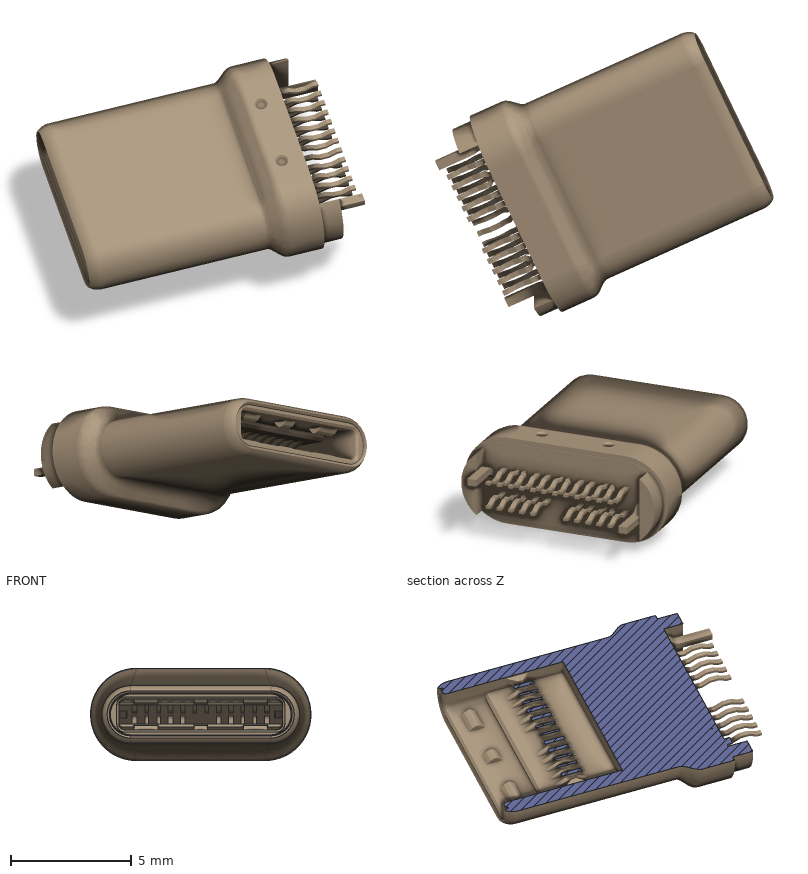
import cadquery as cq
import math

length = 12.04
embed = 0.06

shell_width = 8.22
shell_thickness = 2.4
shell_radius = shell_thickness / 2
shell_half_span = shell_width / 2 - shell_radius
shell_end_y = 7.7
mouth_round_length = 0.5
mouth_height = 1.96
mouth_radius = mouth_height / 2
mouth_chamfer = 0.09
bore_radius = mouth_radius - mouth_chamfer
liner_gap = 0.042
liner_gap_depth = 0.1

collar_width = 9.17
collar_thickness = 3.84
collar_radius = collar_thickness / 2
collar_half_span = collar_width / 2 - collar_radius
collar_front_y = 8.57
collar_rear_y = 10.0
shoulder_stations = 6
shoulder_bias = 1.15

block_radius = 1.71
block_rear_y = 10.04
ear_rear_y = 10.9
ear_inner_x = 3.68

dimple_x = 1.5
dimple_y = 9.05
dimple_mouth_diameter = 0.55
dimple_floor_diameter = 0.34
dimple_depth = 0.11

cavity_width = 6.8
cavity_half_width = cavity_width / 2
cavity_half_height = 0.64
cavity_corner = 0.24
cavity_chamfer = 0.1
chamfer_angle = 45
step_y = 1.93
funnel_half_height = 0.52
funnel_length = 0.12
slot_half_height = 0.4
slot_end_y = 5.42

spring_layout = [(-2.28, 1.0), (0, 0.55), (2.28, 1.0)]
spring_front_y = 0.6
spring_length = 0.71
spring_ridge = (0.17, 0.17)
spring_crest = (0.34, 0.23)

positions = 12
row_length = 5.5
pitch = row_length / (positions - 1)
wide_pin = 0.2
narrow_pin = 0.13
contact_front_y = 2.65
contact_ridge_z = 0.15
contact_tip_z = 0.06
contact_ramp_length = 0.48
contact_crest_length = 0.36
contact_back_length = 0.72
upper_row_only = (5, 6)
jogs = {1: 1, 2: -1, 5: 1, 6: -1, 9: 1, 10: -1}

pin_rear_y = 11.88
pin_thickness = 0.12
pin_tail_z = 0.47
pin_dip_z = 0.31
pin_root_y = block_rear_y - embed
pin_ramp = 0.35
pin_dip_front_y = 10.6
pin_dip_rear_y = 11.67
jog_front_y = 10.22
jog_rear_y = 10.37
jog_slant = 0.11
jog_shift = 0.102

latch_front_y = 2.89
latch_half_height = 0.15
latch_ridge_x = 3.12
latch_tip_x = 3.07
latch_ramp_length = 0.36
latch_crest_length = 0.24

leg_spacing = 6.83
leg_x = leg_spacing / 2
leg_width = 0.39
leg_thickness = 0.3
leg_inner_z = 0.39
leg_bend_y = 10.6
leg_bend_drop = 0.3


def slot_turned(outline, half_span):
    """Solid of slot-shaped sections along Y, from a half outline drawn as radius (X) against Y."""
    flat = outline.extrude(half_span, both=True).rotate((0, 0, 0), (0, 1, 0), 90)
    bar = flat.union(flat.mirror("XY"))
    end = outline.toPending().revolve(360, (0, 0, 0), (0, 1, 0))
    for side in (-1, 1):
        bar = bar.union(end.translate((side * half_span, 0, 0)))
    return bar


def straight_bar(radius, half_span, start, end):
    """Slot-shaped bar between two Y positions."""
    section = cq.Workplane("XZ", origin=(0, start, 0)).slot2D(2 * (half_span + radius), 2 * radius)
    return section.extrude(start - end)


def box(x0, x1, y0, y1, z0, z1):
    return cq.Workplane("XY").box(x1 - x0, y1 - y0, z1 - z0, centered=False).translate((x0, y0, z0))


def shoulder():
    """Smooth transition from the shell's slot section to the collar's."""
    loft = cq.Workplane("XZ")
    previous_y = 0
    for station in range(shoulder_stations + 1):
        t = station / shoulder_stations
        y = collar_front_y + (shell_end_y - collar_front_y) * t
        eased = t**shoulder_bias
        blend = eased * eased * (3 - 2 * eased)
        radius = collar_radius + (shell_radius - collar_radius) * blend
        half_span = collar_half_span + (shell_half_span - collar_half_span) * blend
        loft = loft.workplane(offset=previous_y - y).slot2D(2 * (half_span + radius), 2 * radius)
        previous_y = y
    return loft.loft()


def shell():
    """Shell whose mouth edge is rounded by an arc tangent to its sides."""
    inset = shell_radius - mouth_radius
    arc_radius = (mouth_round_length**2 + inset**2) / (2 * inset)
    half_angle = math.asin(mouth_round_length / arc_radius) / 2
    arc_middle = (
        shell_radius - arc_radius * (1 - math.cos(half_angle)),
        mouth_round_length - arc_radius * math.sin(half_angle),
    )
    outline = (
        cq.Workplane("XY")
        .lineTo(mouth_radius, 0)
        .threePointArc(arc_middle, (shell_radius, mouth_round_length))
        .lineTo(shell_radius, shell_end_y)
        .lineTo(0, shell_end_y)
        .close()
    )
    return slot_turned(outline, shell_half_span)


def mouth_chamfer_cut():
    """Chamfered rim running in to the front face of the liner."""
    outline = cq.Workplane("XY").polyline([
        (0, 0),
        (mouth_radius, 0),
        (bore_radius, mouth_chamfer),
        (0, mouth_chamfer),
    ]).close()
    return slot_turned(outline, shell_half_span)


def liner_groove():
    """Thin gap all round between the shell and the liner inside it."""
    groove_end_y = mouth_chamfer + liner_gap_depth
    bore = straight_bar(bore_radius, shell_half_span, mouth_chamfer, groove_end_y)
    liner = straight_bar(bore_radius - liner_gap, shell_half_span, mouth_chamfer, groove_end_y)
    return bore.cut(liner)


def backing_block():
    """Slot-shaped block, cut back between its two end ears."""
    core = straight_bar(block_radius, collar_half_span, collar_front_y, ear_rear_y)
    gap = box(-ear_inner_x, ear_inner_x, block_rear_y, ear_rear_y, -block_radius, block_radius)
    return core.cut(gap)


def dimple(x):
    """Flat-bottomed conical recess in the top of the collar."""
    cone = cq.Solid.makeCone(
        dimple_floor_diameter / 2,
        dimple_mouth_diameter / 2,
        dimple_depth,
        pnt=cq.Vector(x, dimple_y, collar_radius - dimple_depth),
    )
    return cq.Workplane(cone)


def rounded_opening(grow, y):
    """Section of the cavity at depth y, grown outwards on every side."""
    sketch = cq.Sketch().rect(2 * (cavity_half_width + grow), 2 * (cavity_half_height + grow))
    sketch = sketch.vertices().fillet(cavity_corner + grow)
    return cq.Workplane("XZ", origin=(0, y, 0)).placeSketch(sketch)


def cavity():
    """Chamfered front cavity, then a funnel into a thin slot."""
    chamfer_end_y = mouth_chamfer + cavity_chamfer
    lead_in = rounded_opening(cavity_chamfer, mouth_chamfer).extrude(-cavity_chamfer, taper=chamfer_angle)
    front = rounded_opening(0, chamfer_end_y).extrude(chamfer_end_y - step_y)
    funnel_end_y = step_y + funnel_length
    slot = cq.Workplane("YZ").polyline([
        (step_y, funnel_half_height),
        (funnel_end_y, slot_half_height),
        (slot_end_y, slot_half_height),
        (slot_end_y, -slot_half_height),
        (funnel_end_y, -slot_half_height),
        (step_y, -funnel_half_height),
    ]).close().extrude(cavity_half_width, both=True)
    return lead_in.union(front).union(slot)


def spring(x, width):
    """Bump on the cavity floor: a steep front ramp, a gentler one, and a curved back."""
    base_z = -cavity_half_height
    ridge = (spring_front_y + spring_ridge[0], base_z + spring_ridge[1])
    crest = (spring_front_y + spring_crest[0], base_z + spring_crest[1])
    crest_direction = (crest[0] - ridge[0], crest[1] - ridge[1])
    back_direction = (1, -1)
    back_y = spring_front_y + spring_length
    bump = (
        cq.Workplane("YZ", origin=(x - width / 2, 0, 0))
        .moveTo(spring_front_y, base_z - embed)
        .lineTo(spring_front_y, base_z)
        .lineTo(*ridge)
        .lineTo(*crest)
        .spline([(back_y, base_z)], tangents=[crest_direction, back_direction], includeCurrent=True)
        .lineTo(back_y, base_z - embed)
        .close()
    )
    return bump.extrude(width)


def contact(x, width):
    """Sprung contact standing on the slot floor."""
    floor_z = -slot_half_height
    ridge_y = contact_front_y + contact_ramp_length
    tip_y = ridge_y + contact_crest_length
    back_y = tip_y + contact_back_length
    return cq.Workplane("YZ", origin=(x, 0, 0)).polyline([
        (contact_front_y, floor_z - embed),
        (contact_front_y, floor_z),
        (ridge_y, -contact_ridge_z),
        (tip_y, -contact_tip_z),
        (back_y, floor_z),
        (back_y, floor_z - embed),
    ]).close().extrude(width / 2, both=True)


def latch():
    """Side latch of the slot at +X."""
    ridge_y = latch_front_y + latch_ramp_length
    tip_y = ridge_y + latch_crest_length
    back_y = tip_y + latch_ramp_length
    return cq.Workplane("XY").polyline([
        (cavity_half_width + embed, latch_front_y),
        (cavity_half_width, latch_front_y),
        (latch_ridge_x, ridge_y),
        (latch_tip_x, tip_y),
        (cavity_half_width, back_y),
        (cavity_half_width + embed, back_y),
    ]).close().extrude(latch_half_height, both=True)


def thickened(path, thickness):
    """Closed outline of a strip whose lower edge is the path."""
    upper = [(y, z + thickness) for y, z in reversed(path)]
    return cq.Workplane("YZ").polyline(path + upper).close()


def pin(x, jog):
    """Solder pin of the upper row: dipped side profile; jog (-1, 0, 1) sets its sideways step in plan."""
    side = thickened([
        (pin_root_y, pin_tail_z),
        (pin_dip_front_y, pin_tail_z),
        (pin_dip_front_y + pin_ramp, pin_dip_z),
        (pin_dip_rear_y - pin_ramp, pin_dip_z),
        (pin_dip_rear_y, pin_tail_z),
        (pin_rear_y, pin_tail_z),
    ], pin_thickness).extrude(length, both=True)
    half = wide_pin / 2
    if jog == 0:
        plan = [(-half, pin_root_y), (-half, pin_rear_y), (half, pin_rear_y), (half, pin_root_y)]
    else:
        root = narrow_pin / 2
        plan = [
            (jog_shift - root, pin_root_y),
            (jog_shift - root, jog_front_y),
            (-half, jog_rear_y),
            (-half, pin_rear_y),
            (half, pin_rear_y),
            (half, jog_rear_y + jog_slant),
            (jog_shift + root, jog_front_y + jog_slant),
            (jog_shift + root, pin_root_y),
        ]
        if jog < 0:
            plan = [(-px, y) for px, y in plan]
    strip = cq.Workplane("XY").polyline(plan).close().extrude(length)
    return strip.intersect(side).translate((x, 0, 0))


def shield_leg():
    """Upper shield leg at +X, bending towards the middle plane inside the collar."""
    inner_z = leg_inner_z - leg_bend_drop
    leg = (
        cq.Workplane("YZ", origin=(leg_x - leg_width / 2, 0, 0))
        .moveTo(length, leg_inner_z)
        .lineTo(leg_bend_y, leg_inner_z)
        .spline([(collar_rear_y, inner_z)], tangents=[(-1, 0), (-1, 0)], includeCurrent=True)
        .lineTo(collar_rear_y - embed, inner_z)
        .lineTo(collar_rear_y - embed, inner_z + leg_thickness)
        .lineTo(collar_rear_y, inner_z + leg_thickness)
        .spline([(leg_bend_y, leg_inner_z + leg_thickness)], tangents=[(1, 0), (1, 0)], includeCurrent=True)
        .lineTo(length, leg_inner_z + leg_thickness)
        .close()
    )
    return leg.extrude(leg_width)


body = shell().union(shoulder())
body = body.union(straight_bar(collar_radius, collar_half_span, collar_front_y, collar_rear_y))
body = body.union(backing_block())
for x in (-dimple_x, dimple_x):
    body = body.cut(dimple(x))
body = body.cut(mouth_chamfer_cut()).cut(liner_groove()).cut(cavity())

for x, width in spring_layout:
    bump = spring(x, width)
    body = body.union(bump).union(bump.mirror("XY"))

side_latch = latch()
body = body.union(side_latch).union(side_latch.mirror("YZ"))

for index in range(positions):
    x = (index - (positions - 1) / 2) * pitch
    jog = jogs.get(index, 0)
    contact_width = narrow_pin if jog else wide_pin
    lower_contact = contact(x, contact_width)
    upper_pin = pin(x, jog)
    body = body.union(lower_contact.mirror("XY")).union(upper_pin)
    if index not in upper_row_only:
        body = body.union(lower_contact).union(upper_pin.mirror("XY"))

upper_leg = shield_leg()
lower_leg = upper_leg.rotate((0, 0, 0), (0, 1, 0), 180)
result = body.union(upper_leg).union(lower_leg)